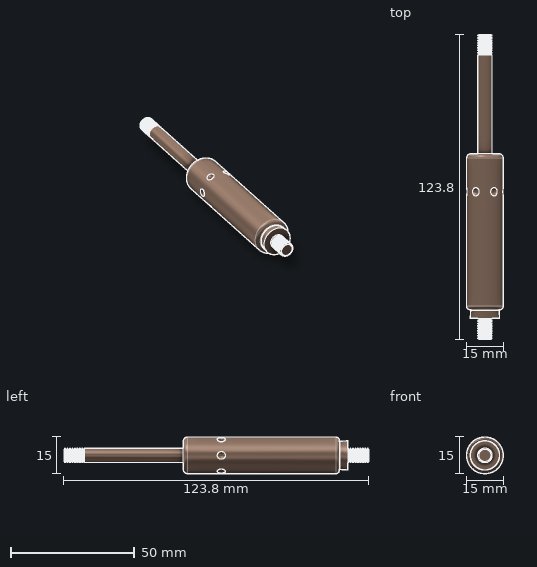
import cadquery as cq

housing_diameter = 15.0
housing_length = 63.5
front_rim_radius = 1.9
back_rim_radius = 1.5

collar_back_diameter = 12.0
collar_front_diameter = 11.7
neck_diameter = 11.2
neck_length = 0.2
collar_length = 3.2

rod_diameter = 6.0
rod_length = 39.9

thread_length = 8.5
thread_root_diameter = 5.0
thread_pitch = 1.0
thread_crest_width = thread_pitch / 8
thread_root_width = thread_pitch / 4
thread_rings = 8

dimple_count = 6
dimple_diameter = 3.3
dimple_depth = 0.9
dimple_setback = 15.5

barrel_back = -housing_length
collar_front = barrel_back - neck_length
collar_back = collar_front - collar_length


def revolve_about_y(points):
    """Revolve a stepped outline of (radius, y) points, closed along the axis, about Y."""
    (_, start), (_, end) = points[0], points[-1]
    profile = cq.Workplane("XY").polyline([(0, start), *points, (0, end)]).close()
    return profile.revolve(360, (0, 0, 0), (0, 1, 0))


def make_cone(start_diameter, start, end_diameter, end):
    return revolve_about_y([(start_diameter / 2, start), (end_diameter / 2, end)])


def make_cylinder(diameter, start, end):
    return make_cone(diameter, start, diameter, end)


def make_thread(base, direction):
    """Thread from its base toward +Y (direction 1) or -Y (direction -1), with a half ring at the base."""
    crest = rod_diameter / 2
    root = thread_root_diameter / 2
    tip = base + direction * thread_length
    half_crest = thread_crest_width / 2
    half_foot = (thread_pitch - thread_root_width) / 2
    points = [(root, tip)]
    for i in range(thread_rings):
        ring = thread_pitch * (i + 0.5)
        outline = [
            (root, ring - half_foot),
            (crest, ring - half_crest),
            (crest, ring + half_crest),
            (root, ring + half_foot),
        ]
        points += [(radius, tip - direction * distance) for radius, distance in outline]
    points += [
        (root, base + direction * half_foot),
        (crest, base + direction * half_crest),
        (crest, base),
    ]
    return revolve_about_y(points)


def make_dimple():
    """Ball that cuts one dimple on the -X side of the barrel."""
    ball_radius = ((dimple_diameter / 2) ** 2 + dimple_depth**2) / (2 * dimple_depth)
    ball_center = housing_diameter / 2 - dimple_depth + ball_radius
    return cq.Workplane("XY").sphere(ball_radius).translate((-ball_center, -dimple_setback, 0))


def make_barrel():
    barrel = make_cylinder(housing_diameter, barrel_back, 0)
    barrel = barrel.faces(">Y").edges().fillet(front_rim_radius)
    barrel = barrel.faces("<Y").edges().fillet(back_rim_radius)
    dimple = make_dimple()
    for i in range(dimple_count):
        barrel = barrel.cut(dimple.rotate((0, 0, 0), (0, 1, 0), i * 360 / dimple_count))
    return barrel


def make_housing():
    neck = make_cylinder(neck_diameter, collar_front, barrel_back)
    collar = make_cone(collar_back_diameter, collar_back, collar_front_diameter, collar_front)
    stud = make_thread(collar_back, -1)
    return make_barrel().union(neck).union(collar).union(stud)


def make_rod():
    shaft = make_cylinder(rod_diameter, 0, rod_length)
    return shaft.union(make_thread(rod_length, 1))


housing = make_housing()
rod = make_rod()

result = cq.Compound.makeCompound([housing.val(), rod.val()])